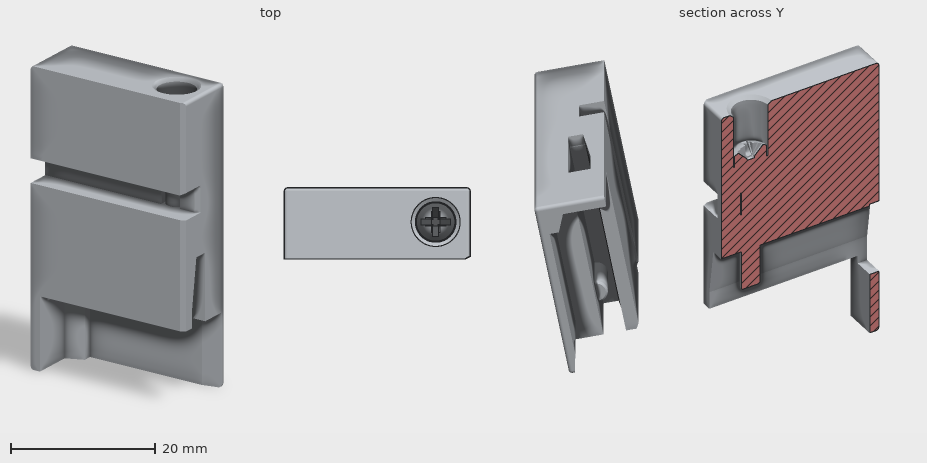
import cadquery as cq

WIDTH = 25.75
DEPTH = 9.9
HEIGHT = 45.2
EDGE_RADIUS = 0.5

CHAMFER_WIDTH = 0.75
CHAMFER_DEPTH = 0.4

GROOVE_BOTTOM = 27.75
GROOVE_TOP = 31.4
GROOVE_DEPTH = 3.55

RECESS_HEIGHT = 11.2
WALL_THICKNESS = 1.55
PLATE_FACE = 8.5
FLANK_START = 6.1
FLANK_END = 7.2
FLANK_RIGHT = 4.15
SLOPE_START = 22.9
SLOPE_DROP = 0.65

SLOT_BACK = 5.1
SLOT_FRONT = 1.9
SLOT_TOP_FRONT = 3.0
SLOT_BOTTOM = 9.95
SLOT_SLANT_BOTTOM = 14.0
SLOT_TOP = 21.75
SLOT_CEILING_STEP = 0.3

SCREW_X = 20.97
SHANK_RADIUS = 1.6
SCREW_Y = GROOVE_DEPTH + SHANK_RADIUS
SHANK_BOTTOM = 15.0
SHANK_TIP_CHAMFER = 0.25
BORE_RADIUS = 2.8
BORE_MOUTH_RADIUS = 3.4
BORE_MOUTH_DEPTH = 0.5
HEAD_RADIUS = 2.65
HEAD_BOTTOM = 36.15
HEAD_RIM = 37.95
HEAD_DOME_HEIGHT = 0.9

CROSS_DEPTH = 2.25
ARM_LENGTH = 5.05
ARM_WIDTH = 0.8
ARM_BOTTOM_LENGTH = 0.7
CORE_LENGTH = 3.15
CORE_WIDTH = 1.18


def make_box(x_range, y_range, z_range):
    """Box between the given lower and upper limits."""
    size = [high - low for low, high in (x_range, y_range, z_range)]
    corner = (x_range[0], y_range[0], z_range[0])
    return cq.Workplane("XY").box(*size, centered=False).translate(corner)


def make_block():
    block = make_box((0, WIDTH), (0, DEPTH), (0, HEIGHT))
    return block.edges("|Y or >Y").fillet(EDGE_RADIUS)


def edge_chamfer_outline(front_y):
    """Outline of the wedge that chamfers the right-hand edge of a front face at front_y."""
    outline = [
        (WIDTH - CHAMFER_WIDTH, front_y),
        (WIDTH, front_y),
        (WIDTH, front_y + CHAMFER_DEPTH),
    ]
    return cq.Workplane("XY").polyline(outline).close()


def make_groove():
    heights = (GROOVE_BOTTOM, GROOVE_TOP)
    groove = make_box((0, WIDTH), (0, GROOVE_DEPTH), heights)
    floor_chamfer = edge_chamfer_outline(GROOVE_DEPTH).extrude(GROOVE_TOP - GROOVE_BOTTOM)
    ceiling_chamfer = (
        cq.Workplane("XZ")
        .polyline([
            (WIDTH - CHAMFER_WIDTH, GROOVE_TOP),
            (WIDTH, GROOVE_TOP),
            (WIDTH, GROOVE_TOP + CHAMFER_DEPTH),
        ])
        .close()
        .extrude(-GROOVE_DEPTH - CHAMFER_DEPTH)
    )
    return groove.union(floor_chamfer.translate((0, 0, GROOVE_BOTTOM))).union(ceiling_chamfer)


def make_foot_recess():
    outline = [
        (WALL_THICKNESS, 0),
        (WALL_THICKNESS, FLANK_START),
        (FLANK_RIGHT, FLANK_END),
        (FLANK_RIGHT, PLATE_FACE),
        (SLOPE_START, PLATE_FACE),
        (WIDTH, PLATE_FACE + SLOPE_DROP),
        (WIDTH, 0),
    ]
    return cq.Workplane("XY").polyline(outline).close().extrude(RECESS_HEIGHT)


def make_slot():
    outline = [
        (SLOT_BACK, SLOT_BOTTOM),
        (SLOT_FRONT, SLOT_BOTTOM),
        (SLOT_FRONT, SLOT_SLANT_BOTTOM),
        (SLOT_TOP_FRONT, SLOT_TOP),
        (SLOT_BACK, SLOT_TOP),
    ]
    slot = cq.Workplane("YZ").polyline(outline).close().extrude(WIDTH)
    ceiling = make_box(
        (WALL_THICKNESS, WIDTH),
        (0, DEPTH),
        (SLOT_TOP - SLOT_CEILING_STEP, SLOT_TOP),
    )
    return slot.cut(ceiling)


def make_shank_window():
    """Opening in the groove floor that exposes the front half of the shank."""
    return make_box(
        (SCREW_X - SHANK_RADIUS, SCREW_X + SHANK_RADIUS),
        (GROOVE_DEPTH, SCREW_Y),
        (GROOVE_BOTTOM, GROOVE_TOP),
    )


def make_bore():
    """Access bore with a conical mouth, turned about the screw axis."""
    outline = [
        (0, HEAD_BOTTOM),
        (BORE_RADIUS, HEAD_BOTTOM),
        (BORE_RADIUS, HEIGHT - BORE_MOUTH_DEPTH),
        (BORE_MOUTH_RADIUS, HEIGHT),
        (0, HEIGHT),
    ]
    bore = cq.Workplane("XZ").polyline(outline).close().revolve(360, (0, 0), (0, 1))
    return bore.translate((SCREW_X, SCREW_Y, 0))


def make_tapered_arm(length, width):
    """Pair of opposite arms along X, narrowing in length towards the bottom."""
    outline = [
        (-length / 2, 0),
        (length / 2, 0),
        (ARM_BOTTOM_LENGTH / 2, -CROSS_DEPTH),
        (-ARM_BOTTOM_LENGTH / 2, -CROSS_DEPTH),
    ]
    return cq.Workplane("XZ").polyline(outline).close().extrude(width / 2, both=True)


def make_cross():
    arms = make_tapered_arm(ARM_LENGTH, ARM_WIDTH)
    arms = arms.union(make_tapered_arm(CORE_LENGTH, CORE_WIDTH))
    return arms.union(arms.rotate((0, 0, 0), (0, 0, 1), 90))


def make_screw():
    shank = (
        cq.Workplane("XY")
        .circle(SHANK_RADIUS)
        .extrude(HEAD_BOTTOM - SHANK_BOTTOM)
        .faces("<Z")
        .chamfer(SHANK_TIP_CHAMFER)
        .translate((0, 0, SHANK_BOTTOM))
    )
    head_top = HEAD_RIM + HEAD_DOME_HEIGHT
    dome_radius = (HEAD_RADIUS**2 + HEAD_DOME_HEIGHT**2) / (2 * HEAD_DOME_HEIGHT)
    dome = cq.Workplane("XY").sphere(dome_radius).translate((0, 0, head_top - dome_radius))
    head = (
        cq.Workplane("XY")
        .circle(HEAD_RADIUS)
        .extrude(head_top - HEAD_BOTTOM)
        .translate((0, 0, HEAD_BOTTOM))
        .intersect(dome)
        .cut(make_cross().translate((0, 0, head_top)))
    )
    return shank.union(head).translate((SCREW_X, SCREW_Y, 0))


body = (
    make_block()
    .cut(edge_chamfer_outline(0).extrude(HEIGHT))
    .cut(make_groove())
    .cut(make_foot_recess())
    .cut(make_slot())
    .cut(make_shank_window())
    .cut(make_bore())
)

result = body.union(make_screw())